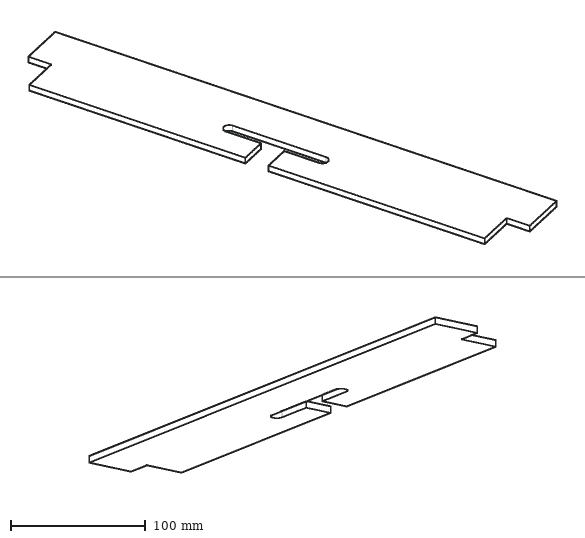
import cadquery as cq

length = 434.0
width = 70.3
thickness = 5.0

notch_length = 20.0
notch_width = 31.5

slot_length = 90.0
slot_width = 9.0
gap_width = 20.0
slot_rear_y = notch_width
slot_center_y = slot_rear_y - slot_width / 2


def block(size_x, size_y, center_x):
    """Full-thickness block rising from the front edge (Y = 0)."""
    return (
        cq.Workplane("XY")
        .center(center_x, size_y / 2)
        .rect(size_x, size_y)
        .extrude(thickness)
    )


plate = block(length, width, 0)

for side in (-1, 1):
    notch_center_x = side * (length - notch_length) / 2
    plate = plate.cut(block(notch_length, notch_width, notch_center_x))

slot = (
    cq.Workplane("XY")
    .center(0, slot_center_y)
    .slot2D(slot_length, slot_width)
    .extrude(thickness)
)
gap = block(gap_width, slot_center_y, 0)

result = plate.cut(slot).cut(gap)